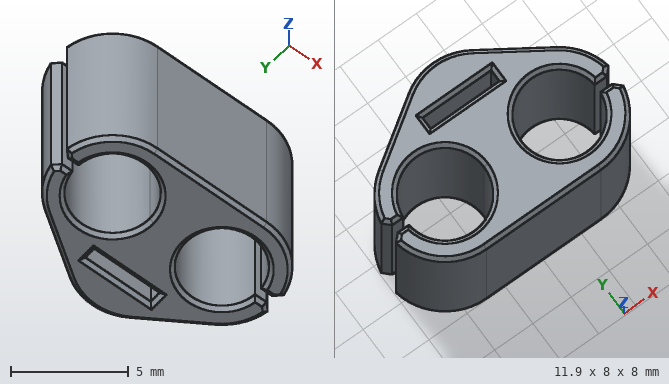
import cadquery as cq
import math

total_width = 11.9
height = 8.0
corner_radius = 3.0
hole_spacing = 6.0
apex_rise = 2.0
left_hole_radius = 2.05
right_hole_radius = 2.0
slot_length = 3.59
slot_width = 0.6
slot_center_y = 3.0
gap_width = 0.4
edge_chamfer = 0.2

half_width = total_width / 2
hole_x = hole_spacing / 2
half_gap = gap_width / 2
mouth_half = math.sqrt(corner_radius**2 - (half_width - hole_x)**2)
lead_in_x = half_width - (mouth_half - half_gap)


def body():
    """Rounded triangle: three equal circles joined by their outer tangents."""
    slope_angle = math.atan2(apex_rise, hole_x)
    normal_x = corner_radius * math.sin(slope_angle)
    normal_y = corner_radius * math.cos(slope_angle)
    side_x = hole_x + corner_radius
    return (
        cq.Workplane("XY")
        .moveTo(-hole_x, -corner_radius)
        .lineTo(hole_x, -corner_radius)
        .threePointArc((side_x, 0), (hole_x + normal_x, normal_y))
        .lineTo(normal_x, apex_rise + normal_y)
        .threePointArc((0, apex_rise + corner_radius), (-normal_x, apex_rise + normal_y))
        .lineTo(-hole_x - normal_x, normal_y)
        .threePointArc((-side_x, 0), (-hole_x, -corner_radius))
        .close()
        .extrude(height)
    )


def hole(center_x, radius):
    return cq.Workplane("XY").center(center_x, 0).circle(radius).extrude(height)


def side_opening(side):
    """Gap from a hole to the outside, flaring at 45 degrees; side is -1 or 1."""
    flare_length = total_width - lead_in_x
    flare_half = half_gap + flare_length
    upper = [(hole_x, half_gap), (lead_in_x, half_gap), (total_width, flare_half)]
    lower = [(x, -y) for x, y in reversed(upper)]
    outline = [(side * x, y) for x, y in upper + lower]
    return cq.Workplane("XY").polyline(outline).close().extrude(height)


def slot():
    return cq.Workplane("XY").center(0, slot_center_y).rect(slot_length, slot_width).extrude(height)


part = body().cut(slot())
part = part.cut(hole(-hole_x, left_hole_radius))
part = part.cut(hole(hole_x, right_hole_radius))
for side in (-1, 1):
    part = part.cut(side_opening(side))

result = part.faces("<Z or >Z").edges().chamfer(edge_chamfer)